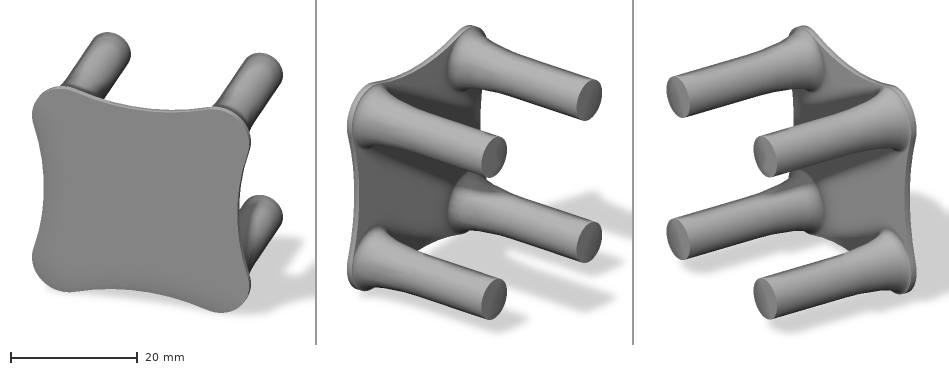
import cadquery as cq
import math

plate_width = 35.75
total_depth = 25.0
plate_thickness = 1.0

post_spacing = 25.02
post_radius = 6.75 / 2
flare_height = 10.0

waist_half_width = 15.9
half_spacing = post_spacing / 2
corner_radius = plate_width / 2 - half_spacing

waist_rise = waist_half_width - half_spacing
side_radius = (half_spacing**2 + waist_rise**2 - corner_radius**2) / (2 * (corner_radius - waist_rise))

side_center = waist_half_width + side_radius
tangent_share = corner_radius / (side_radius + corner_radius)
tangent_along = half_spacing * (1 - tangent_share)
tangent_out = half_spacing + (side_center - half_spacing) * tangent_share
corner_mid = half_spacing + corner_radius * math.sqrt(0.5)


def quarter_turns(point, turns):
    """Turn a point clockwise about the plate centre by quarter turns."""
    x, z = point
    for _ in range(turns):
        x, z = z, -x
    return x, z


def make_plate():
    """Plate with four convex corners and four concave sides, front face at Y = 0."""
    outline = cq.Workplane("XZ").moveTo(-tangent_along, tangent_out)
    for turns in range(4):
        side_mid = quarter_turns((0, waist_half_width), turns)
        side_end = quarter_turns((tangent_along, tangent_out), turns)
        corner_middle = quarter_turns((corner_mid, corner_mid), turns)
        corner_end = quarter_turns((tangent_out, tangent_along), turns)
        outline = outline.threePointArc(side_mid, side_end).threePointArc(corner_middle, corner_end)
    return outline.close().extrude(-plate_thickness)


def make_post():
    """Round post along Y whose foot flares out to the corner radius in a quarter ellipse."""
    flare_width = corner_radius - post_radius
    profile = (
        cq.Workplane("XY")
        .lineTo(corner_radius, 0)
        .lineTo(corner_radius, plate_thickness)
        .ellipseArc(flare_width, flare_height, 180, 270, sense=-1)
        .lineTo(post_radius, total_depth)
        .lineTo(0, total_depth)
        .close()
    )
    return profile.revolve(360, (0, 0, 0), (0, 1, 0))


result = make_plate()
post = make_post()
for x in (-half_spacing, half_spacing):
    for z in (-half_spacing, half_spacing):
        result = result.union(post.translate((x, 0, z)))